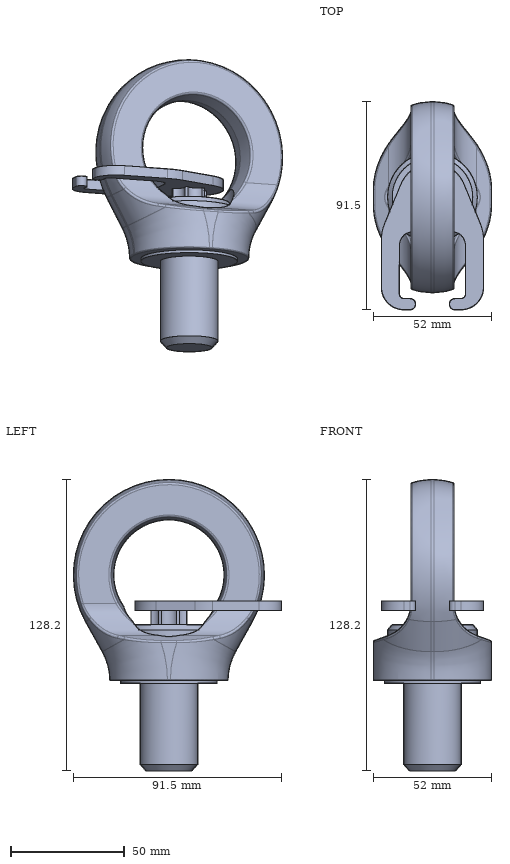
import math

import cadquery as cq


RING_RADIUS = 42.0
RING_TOP_Z = 89.57
RING_CENTER_Z = RING_TOP_Z - RING_RADIUS
RING_HALF_THICKNESS = 9.5
HOLE_RADIUS = 24.2
HOLE_DRAFT = math.radians(8)
EDGE_FILLET = 1.0

BASE_RADIUS = 26.0
BASE_Z = 1.2
BASE_EDGE_FILLET = 0.5
PARTING_FLAT_HALF = 0.65
CROWN_RADIUS = BASE_RADIUS - PARTING_FLAT_HALF
FLARE_RADIUS = 26.0

SHOULDER_FILLET = 15.0
SHOULDER_TOP_Z = 35.1
SHOULDER_SLOPE = math.radians(20)

COLLAR_RADIUS = 21.2
SHANK_RADIUS = 12.7
SHANK_LENGTH = 38.6
SHANK_TIP_RADIUS = 10.0
SHANK_TIP_LENGTH = 3.0
HEAD_RADIUS = 19.7
HEAD_TOP_Z = 25.8
HEAD_CHAMFER_WIDTH = 2.0
HEAD_CHAMFER_HEIGHT = 2.3
POST_RADIUS = 7.9
POST_FLUTES = 6
POST_FLUTE_RADIUS = 4.0
POST_FLUTE_HALF_WIDTH = 3.3

PLATE_BOTTOM_Z = 31.9
PLATE_THICKNESS = 4.3
PLATE_END_Y = -49.5
PLATE_HALF_WIDTH = 22.5
PLATE_HEAD_RADIUS = 15.0
PLATE_HIP_RADIUS = 20.0
PLATE_HIP_Y = -19.1
PLATE_CORNER_RADIUS = 10.0
ARM_WIDTH = 8.0
SLOT_TOP_Y = -15.2
SLOT_CORNER_RADIUS = 6.0
HOOK_WIDTH = 5.0
HOOK_TIP_X = 7.4
HOOK_TIP_RADIUS = HOOK_WIDTH / 2

LOWEST_RIM_Z = 18.0
TOLERANCE = 0.01
DIAGONAL = math.radians(45)


def on_circle(center, radius, angle):
    return (center[0] + radius * math.cos(angle), center[1] + radius * math.sin(angle))


def flank_lean():
    """Angle of the straight flank from vertical, tangent to both the ring and the flare."""
    span_y = BASE_RADIUS + FLARE_RADIUS
    span_z = RING_CENTER_Z - BASE_Z
    span = math.hypot(span_y, span_z)
    return math.atan2(span_z, span_y) - math.acos((RING_RADIUS + FLARE_RADIUS) / span)


def side_outline(depth):
    """Flare and straight flank of the body's +Y outline, moved inward by depth, up to the ring."""
    lean = flank_lean()
    flare_center = (BASE_RADIUS + FLARE_RADIUS, BASE_Z)
    flare_radius = FLARE_RADIUS + depth
    return (
        cq.Workplane("YZ")
        .moveTo(*on_circle(flare_center, flare_radius, math.pi))
        .threePointArc(
            on_circle(flare_center, flare_radius, math.pi - lean / 2),
            on_circle(flare_center, flare_radius, math.pi - lean),
        )
        .lineTo(*on_circle((0, RING_CENTER_Z), RING_RADIUS - depth, -lean))
    )


def crown_section(workplane, foot, rim):
    """Half-round section with a narrow flat at its crest, standing between heights foot and rim."""
    spring = rim - CROWN_RADIUS
    rise = CROWN_RADIUS * math.sin(DIAGONAL)
    outline = workplane.moveTo(-BASE_RADIUS, foot)
    if foot < spring:
        outline = outline.lineTo(-BASE_RADIUS, spring)
    outline = (
        outline.threePointArc((-PARTING_FLAT_HALF - rise, spring + rise), (-PARTING_FLAT_HALF, rim))
        .lineTo(PARTING_FLAT_HALF, rim)
        .threePointArc((PARTING_FLAT_HALF + rise, spring + rise), (BASE_RADIUS, spring))
    )
    if foot < spring:
        outline = outline.lineTo(BASE_RADIUS, foot)
    return outline.close()


def crowned_blank():
    """Body with crowned edges all round, before its faces and hole are cut."""
    base_plane = cq.Workplane("XY", origin=(0, 0, BASE_Z))
    flank = crown_section(base_plane, PARTING_FLAT_HALF, BASE_RADIUS).sweep(side_outline(0))
    core = (
        side_outline(CROWN_RADIUS)
        .lineTo(0, RING_CENTER_Z)
        .lineTo(0, BASE_Z)
        .close()
        .extrude(BASE_RADIUS, both=True)
    )
    lean = math.degrees(flank_lean())
    ring_plane = cq.Workplane("XY", origin=(0, 0, RING_CENTER_Z))
    arch = (
        crown_section(ring_plane, 0, RING_RADIUS)
        .revolve(180 + 2 * lean, (0, 0), (1, 0))
        .rotate((0, 0, RING_CENTER_Z), (1, 0, RING_CENTER_Z), -lean)
    )
    half = flank.union(core)
    return half.union(half.mirror("XZ")).union(arch)


def front_envelope():
    """XZ outline of the body: ring faces spreading through a concave fillet into sloped shoulders."""
    center = (RING_HALF_THICKNESS + SHOULDER_FILLET, SHOULDER_TOP_Z)
    end_angle = 1.5 * math.pi - SHOULDER_SLOPE
    fillet_end = on_circle(center, SHOULDER_FILLET, end_angle)
    lip_z = fillet_end[1] - (BASE_RADIUS - fillet_end[0]) * math.tan(SHOULDER_SLOPE)
    half = (
        cq.Workplane("XZ")
        .moveTo(0, BASE_Z)
        .lineTo(BASE_RADIUS, BASE_Z)
        .lineTo(BASE_RADIUS, lip_z)
        .lineTo(*fillet_end)
        .threePointArc(
            on_circle(center, SHOULDER_FILLET, (math.pi + end_angle) / 2),
            (RING_HALF_THICKNESS, SHOULDER_TOP_Z),
        )
        .lineTo(RING_HALF_THICKNESS, RING_TOP_Z)
        .lineTo(0, RING_TOP_Z)
        .mirrorY()
    )
    return half.extrude(RING_RADIUS, both=True)


def hole_cutter():
    """Ring hole, drafted open toward both faces from the middle plane."""
    rim = HOLE_RADIUS + BASE_RADIUS * math.tan(HOLE_DRAFT)
    return (
        cq.Workplane("XZ", origin=(0, 0, RING_CENTER_Z))
        .moveTo(-BASE_RADIUS, 0)
        .lineTo(-BASE_RADIUS, rim)
        .lineTo(0, HOLE_RADIUS)
        .lineTo(BASE_RADIUS, rim)
        .lineTo(BASE_RADIUS, 0)
        .close()
        .revolve(360, (0, 0), (1, 0))
    )


def is_face_rim(edge):
    """True for edges where a ring face or shoulder ends, false for seams within them."""
    middle = edge.positionAt(0.5)
    on_faces = abs(middle.x) > RING_HALF_THICKNESS - TOLERANCE and middle.z > LOWEST_RIM_Z
    seam = edge.geomType() == "LINE" and abs(middle.x) < BASE_RADIUS - TOLERANCE
    return on_faces and not seam


def is_hole_rim(edge):
    """True for edges where the drafted hole breaks through a ring face or shoulder."""
    middle = edge.positionAt(0.5)
    hole_radius = HOLE_RADIUS + abs(middle.x) * math.tan(HOLE_DRAFT)
    on_hole = abs(math.hypot(middle.y, middle.z - RING_CENTER_Z) - hole_radius) < TOLERANCE
    return on_hole and abs(middle.x) > RING_HALF_THICKNESS - TOLERANCE


def fillet_where(solid, is_wanted, radius):
    edges = [edge for edge in solid.edges().vals() if is_wanted(edge)]
    return solid.newObject(edges).fillet(radius)


def head_pocket():
    """Round pocket for the bolt head, sunk through the foot of the ring."""
    height = RING_CENTER_Z - BASE_Z
    return cq.Workplane("XY", origin=(0, 0, BASE_Z)).circle(HEAD_RADIUS).extrude(height)


def body():
    blank = crowned_blank().intersect(front_envelope())
    blank = fillet_where(blank, is_face_rim, EDGE_FILLET)
    blank = blank.cut(hole_cutter())
    blank = fillet_where(blank, is_hole_rim, EDGE_FILLET)
    blank = blank.faces("<Z").edges().fillet(BASE_EDGE_FILLET)
    return blank.cut(head_pocket())


def drive_post():
    """Post with six concave flutes between the bolt head and the key plate."""
    height = PLATE_BOTTOM_Z - HEAD_TOP_Z
    flute_distance = math.sqrt(POST_RADIUS**2 - POST_FLUTE_HALF_WIDTH**2)
    flute_distance += math.sqrt(POST_FLUTE_RADIUS**2 - POST_FLUTE_HALF_WIDTH**2)
    head_top = cq.Workplane("XY", origin=(0, 0, HEAD_TOP_Z))
    flutes = (
        head_top.polarArray(flute_distance, 0, 360, POST_FLUTES)
        .circle(POST_FLUTE_RADIUS)
        .extrude(height)
    )
    return head_top.circle(POST_RADIUS).extrude(height).cut(flutes)


def bolt():
    """Collar and chamfered shank below the body, head and drive post inside the ring."""
    shank = (
        cq.Workplane("XZ")
        .moveTo(0, -SHANK_LENGTH)
        .lineTo(SHANK_TIP_RADIUS, -SHANK_LENGTH)
        .lineTo(SHANK_RADIUS, SHANK_TIP_LENGTH - SHANK_LENGTH)
        .lineTo(SHANK_RADIUS, 0)
        .lineTo(COLLAR_RADIUS, 0)
        .lineTo(COLLAR_RADIUS, BASE_Z)
        .lineTo(HEAD_RADIUS, BASE_Z)
        .lineTo(HEAD_RADIUS, HEAD_TOP_Z - HEAD_CHAMFER_HEIGHT)
        .lineTo(HEAD_RADIUS - HEAD_CHAMFER_WIDTH, HEAD_TOP_Z)
        .lineTo(0, HEAD_TOP_Z)
        .close()
        .revolve(360, (0, 0), (0, 1))
    )
    return shank.union(drive_post())


def key_plate():
    """Flat fork: round head, tapered hips, two arms with hooked ends."""
    hip_center = (PLATE_HALF_WIDTH - PLATE_HIP_RADIUS, PLATE_HIP_Y)
    taper = math.asin((PLATE_HIP_RADIUS - PLATE_HEAD_RADIUS) / math.hypot(*hip_center))
    taper += math.atan2(hip_center[0], -hip_center[1])
    corner_x = PLATE_HALF_WIDTH - PLATE_CORNER_RADIUS
    corner_center = (corner_x, PLATE_END_Y + PLATE_CORNER_RADIUS)
    tip_center = (HOOK_TIP_X + HOOK_TIP_RADIUS, PLATE_END_Y + HOOK_TIP_RADIUS)
    hook_top_y = PLATE_END_Y + HOOK_WIDTH
    slot_x = PLATE_HALF_WIDTH - ARM_WIDTH
    inner_radius = PLATE_CORNER_RADIUS - ARM_WIDTH
    inner_center = (slot_x - inner_radius, hook_top_y + inner_radius)
    slot_center = (slot_x - SLOT_CORNER_RADIUS, SLOT_TOP_Y - SLOT_CORNER_RADIUS)
    outline = (
        cq.Workplane("XY", origin=(0, 0, PLATE_BOTTOM_Z))
        .moveTo(0, PLATE_HEAD_RADIUS)
        .threePointArc(
            on_circle((0, 0), PLATE_HEAD_RADIUS, (math.pi / 2 + taper) / 2),
            on_circle((0, 0), PLATE_HEAD_RADIUS, taper),
        )
        .lineTo(*on_circle(hip_center, PLATE_HIP_RADIUS, taper))
        .threePointArc(
            on_circle(hip_center, PLATE_HIP_RADIUS, taper / 2),
            on_circle(hip_center, PLATE_HIP_RADIUS, 0),
        )
        .lineTo(PLATE_HALF_WIDTH, corner_center[1])
        .threePointArc(on_circle(corner_center, PLATE_CORNER_RADIUS, -DIAGONAL), (corner_x, PLATE_END_Y))
        .lineTo(tip_center[0], PLATE_END_Y)
        .threePointArc((HOOK_TIP_X, tip_center[1]), (tip_center[0], hook_top_y))
        .lineTo(inner_center[0], hook_top_y)
        .threePointArc(on_circle(inner_center, inner_radius, -DIAGONAL), (slot_x, inner_center[1]))
        .lineTo(slot_x, slot_center[1])
        .threePointArc(on_circle(slot_center, SLOT_CORNER_RADIUS, DIAGONAL), (slot_center[0], SLOT_TOP_Y))
        .lineTo(0, SLOT_TOP_Y)
        .mirrorY()
    )
    return outline.extrude(PLATE_THICKNESS)


result = body().union(bolt()).union(key_plate())